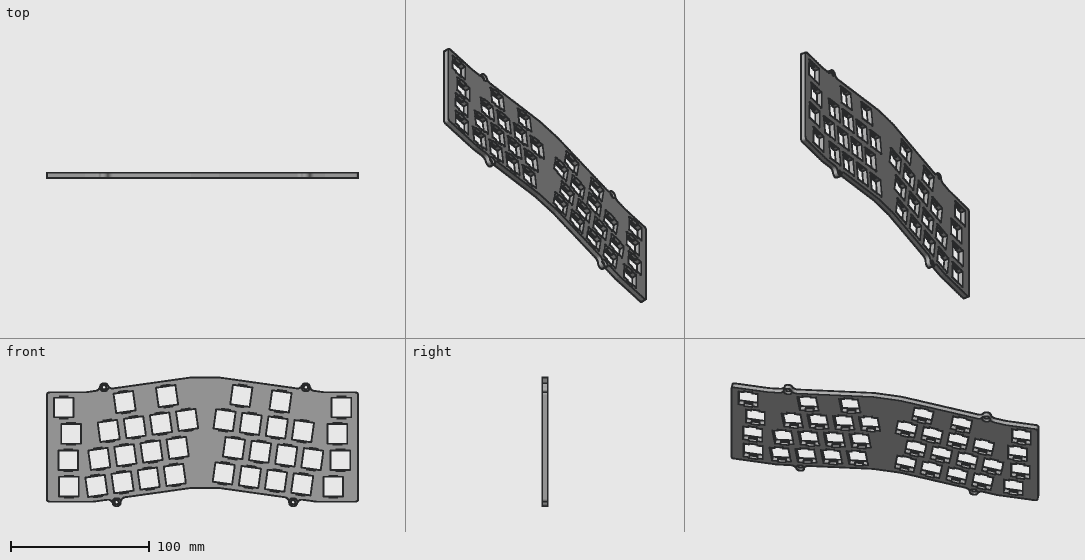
import cadquery as cq
import math


plate_length = 224.83
plate_thickness = 4.0
splay_angle = 8.0
splay_axis_x = 1.75
top_z = 46.565
middle_height = 79.95
side_top_z = 35.8
side_bottom_z = -43.3
middle_half_width = 10.0
corner_radius = 2.0

front_y = -plate_thickness / 2
bottom_z = top_z - middle_height
splay_slope = math.tan(math.radians(splay_angle))
top_wing_offset = middle_half_width + (top_z - side_top_z) / splay_slope
bottom_wing_offset = middle_half_width + (bottom_z - side_bottom_z) / splay_slope

tab_radius = 3.0
tab_blend_radius = 3.5
screw_diameter = 3.0
countersink_diameter = 2 * tab_radius
countersink_angle = 90.0
match_tolerance = 0.01
top_tab_offset, top_tab_z = 72.8, 39.4
bottom_tab_offset, bottom_tab_z = 63.7, tab_radius - top_z

key_pitch = 19.05
switch_size = 14.0
notch_width = 6.0
notch_reach = 1.0
notch_depth = 2.5

top_row_height = 36.51
left_rows = [
    (22.48, (0, 1.625)),
    (10.55, (0, 1, 2, 3)),
    (20.09, (0, 1, 2, 3)),
    (24.86, (0, 1, 2, 3)),
]
right_rows = [
    (21.41, (0, 1.5)),
    (11.86, (0, 1, 2, 3)),
    (21.39, (0, 1, 2, 3)),
    (16.64, (0, 1, 2, 3)),
]

column_top_z = 24.8
left_column_x = (-100.2, -94.9, -96.9, -96.5)
right_column_x = (100.3, 97.4, 99.6, 94.4)


def front_plane():
    """Workplane on the front face: local x is +X, local y is +Z, normal is -Y."""
    return cq.Workplane("XZ", origin=(0, front_y, 0))


def make_body():
    half_length = plate_length / 2
    outline = [
        (-half_length, side_bottom_z),
        (splay_axis_x - bottom_wing_offset, side_bottom_z),
        (splay_axis_x - middle_half_width, bottom_z),
        (splay_axis_x + middle_half_width, bottom_z),
        (splay_axis_x + bottom_wing_offset, side_bottom_z),
        (half_length, side_bottom_z),
        (half_length, side_top_z),
        (splay_axis_x + top_wing_offset, side_top_z),
        (splay_axis_x + middle_half_width, top_z),
        (splay_axis_x - middle_half_width, top_z),
        (splay_axis_x - top_wing_offset, side_top_z),
        (-half_length, side_top_z),
    ]
    body = front_plane().polyline(outline).close().extrude(-plate_thickness)
    return body.edges("|Y and (<X or >X)").fillet(corner_radius)


def tab_centres():
    return [
        (splay_axis_x + side * offset, z)
        for side in (-1, 1)
        for offset, z in ((top_tab_offset, top_tab_z), (bottom_tab_offset, bottom_tab_z))
    ]


def add_tabs(body):
    tabs = front_plane().pushPoints(tab_centres()).circle(tab_radius).extrude(-plate_thickness)
    body = body.union(tabs)

    def is_tab_root(edge):
        middle = edge.Center()
        return any(
            abs(math.hypot(middle.x - x, middle.z - z) - tab_radius) < match_tolerance
            for x, z in tab_centres()
        )

    roots = [edge for edge in body.edges("|Y").vals() if is_tab_root(edge)]
    return body.newObject(roots).fillet(tab_blend_radius)


def drill_tabs(body):
    return (
        body.copyWorkplane(front_plane())
        .pushPoints(tab_centres())
        .cskHole(screw_diameter, countersink_diameter, countersink_angle)
    )


def switch_positions():
    """(x, z, tilt in degrees) of every switch cutout."""
    positions = []
    tilt = math.radians(splay_angle)
    for side, rows in ((-1, left_rows), (1, right_rows)):
        for row, (first_offset, steps) in enumerate(rows):
            height = top_row_height - row * key_pitch
            for step in steps:
                offset = first_offset + step * key_pitch
                x = splay_axis_x + side * (offset * math.cos(tilt) + height * math.sin(tilt))
                z = height * math.cos(tilt) - offset * math.sin(tilt)
                positions.append((x, z, -side * splay_angle))
    for column in (left_column_x, right_column_x):
        for row, x in enumerate(column):
            positions.append((x, column_top_z - row * key_pitch, 0))
    return positions


def make_switch_cutter():
    """Square through opening with a clip notch above and below, open to the front."""
    opening = front_plane().rect(switch_size, switch_size).extrude(-plate_thickness)
    notches = front_plane().rect(notch_width, switch_size + 2 * notch_reach).extrude(-notch_depth)
    return opening.union(notches).val()


def cut_switches(body):
    cutter = make_switch_cutter()
    cutters = [
        cutter.rotate(cq.Vector(0, 0, 0), cq.Vector(0, -1, 0), tilt).translate(cq.Vector(x, 0, z))
        for x, z, tilt in switch_positions()
    ]
    return body.cut(cq.Compound.makeCompound(cutters))


result = cut_switches(drill_tabs(add_tabs(make_body())))